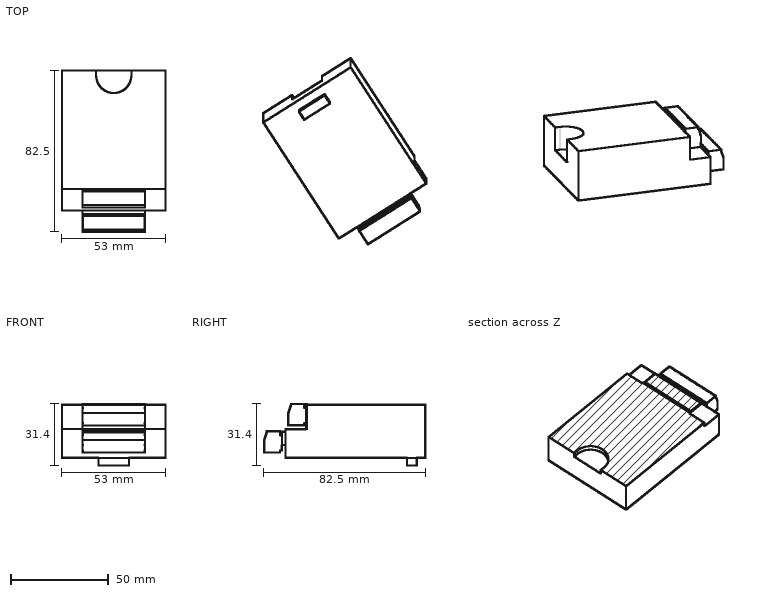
import cadquery as cq

overall_length = 82.45

housing_width = 53.0
housing_length = 71.6
housing_height = 27.1
step_depth = 11.05
step_height = 14.7

recess_radius = 9.0
recess_length = 11.55
recess_floor = step_height

foot_width = 15.7
foot_length = 5.0
foot_height = 3.95
foot_back_gap = 4.45

plug_width = 31.7
plug_length = 8.25
plug_height = 11.0
plug_lip_length = 0.8
plug_lip_bottom = 1.1
plug_lip_top = 8.9
plug_slope_length = 1.3
plug_slope_bottom = 6.35
plug_slope_top = 10.3
lower_plug_z = 2.6
upper_plug_rise = 0.4
upper_plug_z = housing_height + upper_plug_rise - plug_height

plate_width = 32.15
lower_plate_thickness = overall_length - housing_length - plug_length - plug_lip_length
lower_plate_bottom = 6.4
lower_plate_top = 13.35
upper_plate_thickness = 0.5
upper_plate_top = 27.4


def block(width, y_front, y_back, z_bottom, z_top):
    """Box centred across the width, between two Y and two Z positions."""
    return cq.Workplane("XY").box(
        width, y_back - y_front, z_top - z_bottom, centered=(True, False, False)
    ).translate((0, y_front, z_bottom))


def make_housing():
    profile = [
        (0, 0),
        (housing_length, 0),
        (housing_length, housing_height),
        (step_depth, housing_height),
        (step_depth, step_height),
        (0, step_height),
    ]
    return cq.Workplane("YZ").polyline(profile).close().extrude(housing_width / 2, both=True)


def make_recess():
    center_y = housing_length - recess_length + recess_radius
    round_end = (
        cq.Workplane("XY", origin=(0, center_y, recess_floor))
        .circle(recess_radius)
        .extrude(housing_height - recess_floor)
    )
    straight_end = block(2 * recess_radius, center_y, housing_length, recess_floor, housing_height)
    return round_end.union(straight_end)


def make_plug(y_back, z_bottom):
    """Plug whose rear lip touches the plane Y = y_back."""
    front = -plug_lip_length - plug_length
    profile = [
        (0, plug_lip_bottom),
        (-plug_lip_length, plug_lip_bottom),
        (-plug_lip_length, 0),
        (front, 0),
        (front, plug_slope_bottom),
        (front + plug_slope_length, plug_slope_top),
        (front + plug_slope_length, plug_height),
        (-plug_lip_length, plug_height),
        (-plug_lip_length, plug_lip_top),
        (0, plug_lip_top),
    ]
    plug = cq.Workplane("YZ").polyline(profile).close().extrude(plug_width / 2, both=True)
    return plug.translate((0, y_back, z_bottom))


foot_back = housing_length - foot_back_gap
foot = block(foot_width, foot_back - foot_length, foot_back, -foot_height, 0)

lower_plate_front = -lower_plate_thickness
lower_plate = block(plate_width, lower_plate_front, 0, lower_plate_bottom, lower_plate_top)

upper_plate_front = step_depth - upper_plate_thickness
upper_plate = block(plate_width, upper_plate_front, step_depth, step_height, upper_plate_top)

result = (
    make_housing()
    .cut(make_recess())
    .union(foot)
    .union(lower_plate)
    .union(upper_plate)
    .union(make_plug(lower_plate_front, lower_plug_z))
    .union(make_plug(upper_plate_front, upper_plug_z))
)